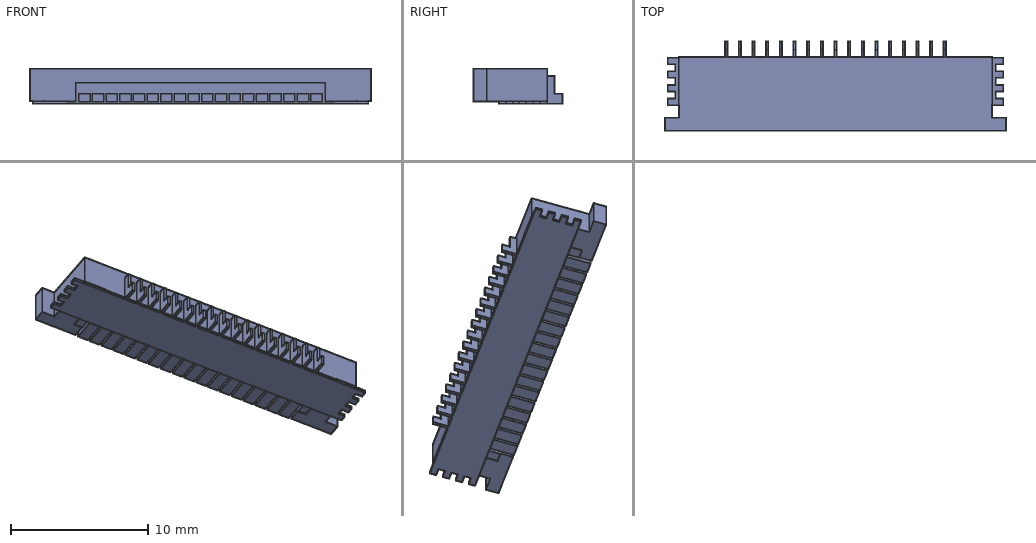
import cadquery as cq

length = 24.92
height = 2.57
depth = 6.53

pitch = 1.0
contact_count = 17

bar_depth = 0.97
bar_bottom = 0.2
housing_length = 22.88
housing_back = 5.4
foot_pad_length = 19.54
foot_pad_bottom = 0.15

opening_length = 18.2
opening_top = 1.55
opening_depth = 1.87

block_count = contact_count + 1
block_width = 0.82
block_top = 0.72

tab_thickness = bar_bottom
tab_start = 1.87
tab_length = 24.52
tab_root_length = 23.42
tooth_count = 4
tooth_width = 0.5

tail_width = 0.187
tail_embed = 0.25
tail_root = housing_back - tail_embed
tail_top = 2.05
tail_step = 5.93
foot_top = 0.75


def box(x_center, x_size, y_front, y_back, z_bottom, z_top):
    """Box centred on x_center, reaching between the given Y and Z limits."""
    return (
        cq.Workplane("XY")
        .box(x_size, y_back - y_front, z_top - z_bottom, centered=(True, False, False))
        .translate((x_center, y_front, z_bottom))
    )


def row_positions(count):
    """X positions of a centred row at the contact pitch."""
    return [(i - (count - 1) / 2) * pitch for i in range(count)]


def make_housing():
    """Front bar and housing in one piece, with the cable opening cut into the front."""
    bar = box(0, length, 0, bar_depth, bar_bottom, height)
    body = box(0, housing_length, 0, housing_back, bar_bottom, height)
    opening = box(0, opening_length, 0, opening_depth, foot_pad_bottom, opening_top)
    foot_pad = box(0, foot_pad_length, bar_depth, housing_back, foot_pad_bottom, bar_bottom)
    return bar.union(body).union(foot_pad).cut(opening)


def make_blocks():
    """Row of separator blocks, flush with the front face."""
    blocks = cq.Workplane("XY")
    for x in row_positions(block_count):
        blocks = blocks.union(box(x, block_width, 0, housing_back, foot_pad_bottom, block_top))
    return blocks


def make_solder_plate():
    """Plate with evenly spaced teeth along both ends."""
    tab_end = tab_start + (2 * tooth_count - 1) * tooth_width
    plate = box(0, tab_root_length, tab_start, tab_end, 0, tab_thickness)
    for i in range(tooth_count):
        y = tab_start + 2 * i * tooth_width
        plate = plate.union(box(0, tab_length, y, y + tooth_width, 0, tab_thickness))
    return plate


def make_tails():
    """Stepped contact tails: a tall stem at the housing and a low foot behind it."""
    tails = cq.Workplane("XY")
    for x in row_positions(contact_count):
        tails = tails.union(box(x, tail_width, tail_root, tail_step, 0, tail_top))
        tails = tails.union(box(x, tail_width, tail_root, depth, 0, foot_top))
    return tails


result = make_housing().union(make_blocks()).union(make_solder_plate()).union(make_tails())